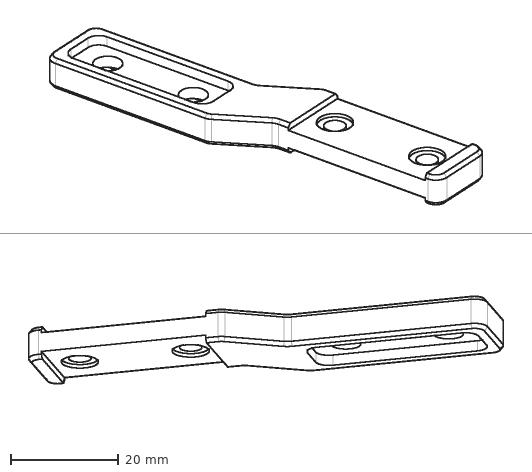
import cadquery as cq
import math

length = 87.2
thickness = 6.4
total_width = 21.6
bend_angle = 30.0
arm_offset = 6.4
arm_width = total_width - arm_offset
neck_start = 38.1
neck_end = neck_start + arm_offset / math.tan(math.radians(bend_angle))
corner_radius = 2.5
chamfer_height = 0.8
chamfer_inset = 0.6

step_start = 52.15
step_end = 84.1
step_depth = 1.3

pocket_start = 2.4
pocket_length = 33.2
pocket_width = 10.4
pocket_depth = 2.0

lower_hole_diameter = 5.6
lower_hole_start = 9.1
lower_hole_spacing = 20.0
upper_hole_diameter = 4.2
counterbore_diameter = 6.9
counterbore_depth = 0.7
upper_hole_start = 57.3
upper_hole_spacing = 21.5

lower_arm_center = arm_width / 2
upper_arm_center = lower_arm_center + arm_offset
step_top = thickness - step_depth


def make_plate():
    """Offset plate with rounded corners and chamfered top and bottom rims."""
    outline = [
        (0, 0),
        (neck_start, 0),
        (neck_end, arm_offset),
        (length, arm_offset),
        (length, total_width),
        (neck_end, total_width),
        (neck_start, arm_width),
        (0, arm_width),
    ]
    plate = cq.Workplane("XY").polyline(outline).close().extrude(thickness)
    plate = plate.edges("|Z").fillet(corner_radius)
    return plate.faces("<Z or >Z").chamfer(chamfer_height, chamfer_inset)


def make_step(bottom):
    """Full-width block that lowers one face of the upper arm."""
    step_length = step_end - step_start
    return (
        cq.Workplane("XY", origin=(step_start, 0, bottom))
        .rect(step_length, total_width, centered=False)
        .extrude(step_depth)
    )


def make_pocket(bottom):
    """Rounded rectangular block that recesses one face of the lower arm."""
    pocket_center = pocket_start + pocket_length / 2
    return (
        cq.Workplane("XY", origin=(pocket_center, lower_arm_center, bottom))
        .rect(pocket_length, pocket_width)
        .extrude(pocket_depth)
        .edges("|Z")
        .fillet(corner_radius)
    )


def make_hole_pair(start, spacing, center_y, diameter, bottom, depth):
    """Two vertical cylinders spaced along X."""
    return (
        cq.Workplane("XY", origin=(start, center_y, bottom))
        .pushPoints([(0, 0), (spacing, 0)])
        .circle(diameter / 2)
        .extrude(depth)
    )


def make_lower_holes():
    """Plain through holes of the lower arm."""
    return make_hole_pair(
        lower_hole_start, lower_hole_spacing, lower_arm_center, lower_hole_diameter, 0, thickness
    )


def make_upper_cylinders(diameter, bottom, depth):
    """Cylinders on the two hole axes of the upper arm."""
    return make_hole_pair(
        upper_hole_start, upper_hole_spacing, upper_arm_center, diameter, bottom, depth
    )


result = make_plate()
for step_bottom in (0, step_top):
    result = result.cut(make_step(step_bottom))
for pocket_bottom in (0, thickness - pocket_depth):
    result = result.cut(make_pocket(pocket_bottom))
result = result.cut(make_lower_holes())
result = result.cut(make_upper_cylinders(upper_hole_diameter, 0, thickness))
for counterbore_bottom in (step_depth, step_top - counterbore_depth):
    result = result.cut(
        make_upper_cylinders(counterbore_diameter, counterbore_bottom, counterbore_depth)
    )